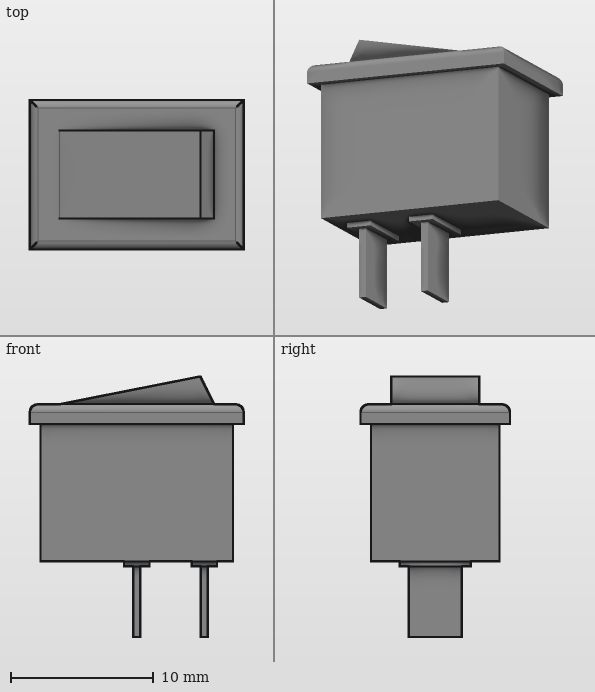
import cadquery as cq

pin_length = 4.95
pad_thickness = 0.35
body_height = 9.63
flange_thickness = 1.39
total_height = 18.28

flange_length = 15.0
flange_width = 10.5
flange_radius = 0.58
body_length = 13.53
body_width = 9.03

rocker_half_length = 5.43
rocker_peak_x = 4.46
rocker_width = 6.18

terminal_pitch = 4.73
terminal_positions = (0.0, terminal_pitch)
pad_length = 1.8
pad_width = 5.0
pin_thickness = 0.51
pin_width = 3.75

pad_top = pin_length + pad_thickness
body_top = pad_top + body_height
flange_top = body_top + flange_thickness


def block(length, width, height, bottom, x=0.0):
    """Upright box centred on (x, 0) with its underside at the given level."""
    return cq.Workplane("XY").box(length, width, height, centered=(True, True, False)).translate((x, 0, bottom))


def make_flange():
    """Bezel with its top edges rounded and its corners mitred."""
    flange = block(flange_length, flange_width, flange_thickness, body_top)
    return flange.faces(">Z").edges().fillet(flange_radius)


def make_rocker():
    """Tilted rocker: a long slope up to the peak and a short steep end."""
    return (
        cq.Workplane("XZ")
        .moveTo(-rocker_half_length, flange_top)
        .lineTo(rocker_peak_x, total_height)
        .lineTo(rocker_half_length, flange_top)
        .lineTo(rocker_half_length, body_top)
        .lineTo(-rocker_half_length, body_top)
        .close()
        .extrude(rocker_width / 2, both=True)
    )


def make_terminal(x):
    """Flat pin hanging from a shallow pad under the housing."""
    pad = block(pad_length, pad_width, pad_thickness, pin_length, x)
    pin = block(pin_thickness, pin_width, pin_length, 0.0, x)
    return pad.union(pin)


result = block(body_length, body_width, body_height, pad_top).union(make_flange()).union(make_rocker())
for position in terminal_positions:
    result = result.union(make_terminal(position))